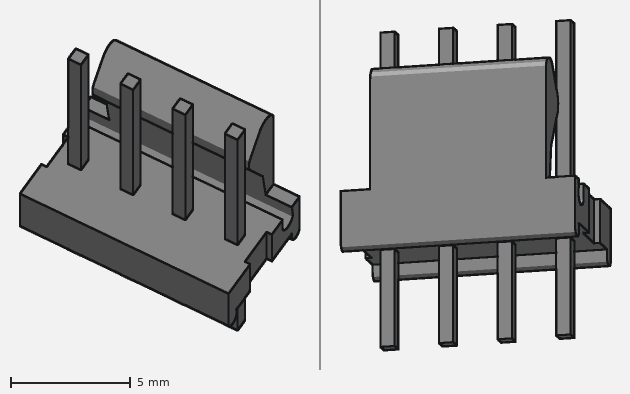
import cadquery as cq
import math


pin_count = 4
pitch = 2.54
pin_width = 0.62
pin_length = 13.589
pin_tail = 3.556

housing_length = pin_count * pitch
front_y = -2.667
back_y = 3.175
top_z = 2.54
foot_width = 0.635
foot_radius = foot_width / 2
base_z = 0.635

notch_width = 1.778
notch_depth = 0.254

slot_front_y = 1.778
slot_depth = 1.016
slot_radius = 0.419

ramp_length = (pin_count - 1) * pitch
ramp_height = 5.334
tip_radius = 0.635
nose_radius = 0.762
nose_y = 1.143
nose_center_height = 3.66
knee_y = 2.286
knee_height = 1.6

slot_center = (slot_front_y + slot_radius, top_z - slot_depth + slot_radius)
tip_center = (back_y - tip_radius, top_z + ramp_height - tip_radius)
nose_center = (nose_y + nose_radius, top_z + nose_center_height)
knee = (knee_y, top_z + knee_height)


def point_on_arc(center, radius, angle):
    """Point at an angle measured from +Y towards +Z."""
    return (center[0] + radius * math.cos(angle), center[1] + radius * math.sin(angle))


def common_tangent_angle(start, start_radius, end, end_radius):
    """Angle of the normal shared by two arcs joined by a tangent line.

    The normal lies to the left of the direction from start to end. A zero radius
    stands for a sharp corner. A concave arc has a negative radius, both here and when its
    tangent point is placed with point_on_arc.
    """
    dy = end[0] - start[0]
    dz = end[1] - start[1]
    return math.atan2(dz, dy) + math.acos((start_radius - end_radius) / math.hypot(dy, dz))


def make_body():
    """Housing, feet and ramp from one profile in the YZ plane, run along the housing."""
    slot_to_knee = common_tangent_angle(slot_center, -slot_radius, knee, 0)
    knee_to_nose = common_tangent_angle(knee, 0, nose_center, nose_radius)
    nose_to_tip = common_tangent_angle(nose_center, nose_radius, tip_center, tip_radius)

    return (
        cq.Workplane("YZ")
        .moveTo(front_y, top_z)
        .lineTo(slot_front_y, top_z)
        .lineTo(slot_front_y, slot_center[1])
        .threePointArc(
            point_on_arc(slot_center, slot_radius, -math.pi / 2),
            point_on_arc(slot_center, -slot_radius, slot_to_knee),
        )
        .lineTo(*knee)
        .lineTo(*point_on_arc(nose_center, nose_radius, knee_to_nose))
        .threePointArc(
            point_on_arc(nose_center, nose_radius, math.pi),
            point_on_arc(nose_center, nose_radius, nose_to_tip),
        )
        .lineTo(*point_on_arc(tip_center, tip_radius, nose_to_tip))
        .threePointArc(
            point_on_arc(tip_center, tip_radius, math.pi / 2),
            point_on_arc(tip_center, tip_radius, 0),
        )
        .lineTo(back_y, foot_radius)
        .threePointArc((back_y - foot_radius, 0), (back_y - foot_width, foot_radius))
        .lineTo(back_y - foot_width, base_z)
        .lineTo(front_y + foot_width, base_z)
        .lineTo(front_y + foot_width, foot_radius)
        .threePointArc((front_y + foot_radius, 0), (front_y, foot_radius))
        .close()
        .extrude(housing_length / 2, both=True)
    )


def make_ramp_end_cut(side):
    """Block that shortens the ramp to its own length at one end (side is -1 or 1)."""
    end_length = (housing_length - ramp_length) / 2
    center_x = side * (ramp_length + end_length) / 2
    depth = back_y - front_y
    return (
        cq.Workplane("XY", origin=(center_x, (back_y + front_y) / 2, top_z))
        .rect(end_length, depth)
        .extrude(ramp_height)
    )


def make_end_notch(side):
    """Full-height notch in one end face of the housing (side is -1 or 1)."""
    center_x = side * (housing_length - notch_depth) / 2
    return cq.Workplane("XY", origin=(center_x, 0, 0)).rect(notch_depth, notch_width).extrude(top_z)


def make_pins():
    """Row of square pins running through the housing."""
    return (
        cq.Workplane("XY", origin=(0, 0, -pin_tail))
        .rarray(pitch, 1, pin_count, 1)
        .rect(pin_width, pin_width)
        .extrude(pin_length)
    )


result = make_body()
for end_side in (-1, 1):
    result = result.cut(make_ramp_end_cut(end_side)).cut(make_end_notch(end_side))
result = result.union(make_pins())